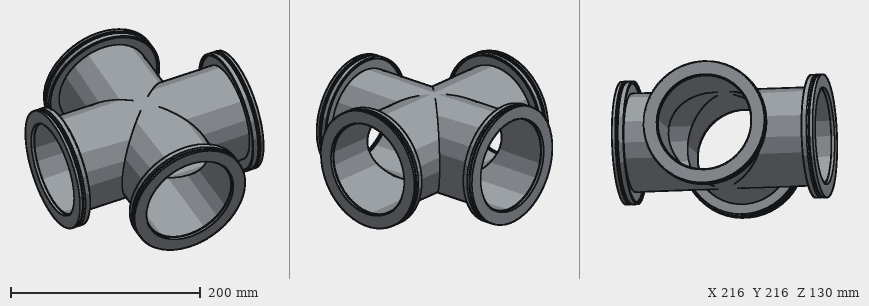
import cadquery as cq

overall_length = 216.0
flange_diameter = 130.0
flange_thickness = 12.0
tube_diameter = 104.1
bore_diameter = 100.0
recess_diameter = 102.0
recess_depth = 3.5

relief_depth = 1.7
lip_width = 2.2

rim_width = 3.7
groove_front_width = 1.5
groove_depth = 1.5
front_wall_depth = 0.9

half_length = overall_length / 2
flange_radius = flange_diameter / 2
tube_radius = tube_diameter / 2
arm_directions = [(1, 0, 0), (-1, 0, 0), (0, 1, 0), (0, -1, 0)]


def cylinder(diameter, length, start, direction):
    """Cylinder along an arm, starting at a distance from the centre of the cross."""
    origin = cq.Vector(*direction) * start
    return cq.Workplane(cq.Solid.makeCylinder(diameter / 2, length, origin, cq.Vector(*direction)))


def flanged_arm(direction):
    """Solid arm from the centre of the cross to its flange face, with its relief and clamp groove."""
    flange_back = half_length - flange_thickness
    groove_front = half_length - rim_width
    groove_bottom = groove_front - groove_front_width
    groove_back = groove_bottom - groove_depth
    groove_radius = flange_radius - groove_depth
    relief_floor = flange_back + relief_depth
    lip_radius = flange_radius - lip_width

    profile_plane = cq.Plane(origin=(0, 0, 0), xDir=(0, 0, 1), normal=(direction[1], -direction[0], 0))
    side = profile_plane.yDir.dot(cq.Vector(*direction))
    section = [
        (0, 0),
        (tube_radius, 0),
        (tube_radius, relief_floor),
        (lip_radius, relief_floor),
        (lip_radius, flange_back),
        (flange_radius, flange_back),
        (flange_radius, groove_back),
        (groove_radius, groove_bottom),
        (flange_radius - front_wall_depth, groove_front),
        (flange_radius, groove_front),
        (flange_radius, half_length),
        (0, half_length),
    ]
    points = [(radius, side * distance) for radius, distance in section]
    return cq.Workplane(profile_plane).polyline(points).close().revolve(360, (0, 0), (0, 1))


def straight_pipe(direction):
    """Two opposite arms joined into one straight run."""
    opposite = tuple(-component for component in direction)
    return flanged_arm(direction).union(flanged_arm(opposite))


result = straight_pipe((1, 0, 0)).union(straight_pipe((0, 1, 0)))

for arm_direction in arm_directions:
    recess_start = half_length - recess_depth
    result = result.cut(cylinder(recess_diameter, recess_depth, recess_start, arm_direction))
for bore_direction in [(1, 0, 0), (0, 1, 0)]:
    result = result.cut(cylinder(bore_diameter, overall_length, -half_length, bore_direction))